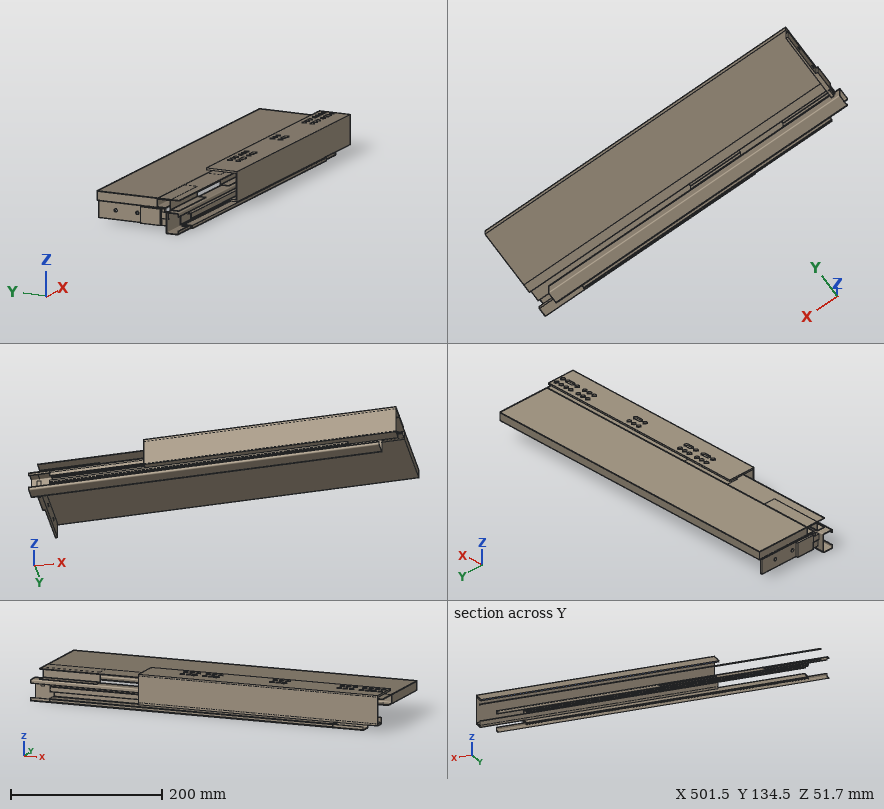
import cadquery as cq

total_length = 501.5
total_width = 134.5
total_height = 51.7


def block(x_range, y_range, z_range):
    """Box between two positions on each axis."""
    size = [high - low for low, high in (x_range, y_range, z_range)]
    corner = (x_range[0], y_range[0], z_range[0])
    return cq.Workplane("XY").box(*size, centered=False).translate(corner)


def folded_sheet(x_range, path, thickness):
    """Sheet whose middle line follows right-angled (Y, Z) points, half a thickness in from each end."""
    half = thickness / 2
    sheet = None
    for (y_a, z_a), (y_b, z_b) in zip(path, path[1:]):
        strip = block(
            x_range,
            (min(y_a, y_b) - half, max(y_a, y_b) + half),
            (min(z_a, z_b) - half, max(z_a, z_b) + half),
        )
        sheet = strip if sheet is None else sheet.union(strip)
    return sheet.clean()


bracket_end = 500.0
bracket_length = 342.0
bracket_x = (bracket_end - bracket_length, bracket_end)
bracket_flange_thickness = 2.5
bracket_web_thickness = 1.6
bracket_top_width = 45.3
bracket_bottom_z = 10.4
bracket_hook_y = 13.6
bracket_hook_top_z = 19.4

hole_diameter = 6.2
hole_pitch = 9.0
hole_rows_y = (24.3, 36.3)
three_hole_groups_x = (211.0, 243.0, 339.0, 435.0)
four_hole_group_x = 467.0
round_only_group_x = 435.0


def bracket_hole_cutters():
    """Rows of mounting holes; most groups have a slot in place of two holes in the outer row."""
    slot_row_y, round_row_y = hole_rows_y
    round_centres = []
    slot_centres = []
    for group_x in (*three_hole_groups_x, four_hole_group_x):
        hole_count = 4 if group_x == four_hole_group_x else 3
        positions = [group_x + hole_pitch * index for index in range(hole_count)]
        round_centres += [(x, round_row_y) for x in positions]
        if group_x == round_only_group_x:
            round_centres += [(x, slot_row_y) for x in positions]
        else:
            round_centres += [(x, slot_row_y) for x in positions[:1] + positions[3:]]
            slot_centres.append(((positions[1] + positions[2]) / 2, slot_row_y))
    top = cq.Workplane("XY").workplane(offset=total_height)
    holes = top.pushPoints(round_centres).circle(hole_diameter / 2).extrude(-bracket_flange_thickness)
    slots = (
        top.pushPoints(slot_centres)
        .slot2D(hole_pitch + hole_diameter, hole_diameter)
        .extrude(-bracket_flange_thickness)
    )
    return holes.union(slots)


def make_cabinet_bracket():
    top_z = (total_height - bracket_flange_thickness, total_height)
    bottom_z = (bracket_bottom_z, bracket_bottom_z + bracket_flange_thickness)
    hook_y = (bracket_hook_y - bracket_web_thickness, bracket_hook_y)
    web = block(bracket_x, (0, bracket_web_thickness), (bracket_bottom_z, total_height))
    top_flange = block(bracket_x, (0, bracket_top_width), top_z)
    bottom_flange = block(bracket_x, (0, bracket_hook_y), bottom_z)
    hook = block(bracket_x, hook_y, (bracket_bottom_z, bracket_hook_top_z))
    return web.union(top_flange).union(bottom_flange).union(hook).clean().cut(bracket_hole_cutters())


panel_x = (11.0, total_length)
panel_thickness = 1.0
panel_top_z = 44.4
panel_front_y = 13.8
panel_bottom_z = panel_top_z - panel_thickness
board_front_y = 46.6
board_bottom_z = 31.2


strip_thickness = 1.2
strip_wall_y = board_front_y - strip_thickness
strip_flange_edge_y = 33.6
strip_bend_radius = 1.5


def make_panel():
    """Flat top sheet with an angle below it: a wall against the board and a flange towards the rail."""
    half = strip_thickness / 2
    flange_z = board_bottom_z + half
    path = [
        (strip_wall_y + half, panel_bottom_z - half),
        (strip_wall_y + half, flange_z),
        (strip_flange_edge_y + half, flange_z),
    ]
    inner_bend = cq.NearestToPointSelector((sum(panel_x) / 2, strip_wall_y, board_bottom_z + strip_thickness))
    angle = folded_sheet(panel_x, path, strip_thickness)
    angle = angle.edges("|X").edges(inner_bend).fillet(strip_bend_radius)
    sheet = block(panel_x, (panel_front_y, total_width), (panel_bottom_z, panel_top_z))
    return sheet.union(angle)


def make_board():
    return block(panel_x, (board_front_y, total_width), (board_bottom_z, panel_bottom_z))


rail_x = (0.0, 475.0)
rail_thickness = 1.0
rail_back_y = 27.4
rail_front_y = 9.3
rail_height = 29.4
rail_lip_depth = 5.0
rail_bend_radius = 1.8


def make_drawer_rail():
    """C channel open towards -Y, with short lips on both flanges."""
    half = rail_thickness / 2
    back_y = rail_back_y - half
    lip_y = rail_front_y + half
    channel_path = [
        (lip_y, rail_height - rail_lip_depth + half),
        (lip_y, rail_height - half),
        (back_y, rail_height - half),
        (back_y, half),
        (lip_y, half),
        (lip_y, rail_lip_depth - half),
    ]
    channel = folded_sheet(rail_x, channel_path, rail_thickness)
    middle = sum(rail_x) / 2
    for outer_y, inner_y in ((rail_front_y, lip_y + half), (rail_back_y, back_y - half)):
        for outer_z, inner_z in ((0, rail_thickness), (rail_height, rail_height - rail_thickness)):
            outer_corner = cq.NearestToPointSelector((middle, outer_y, outer_z))
            inner_corner = cq.NearestToPointSelector((middle, inner_y, inner_z))
            channel = channel.edges("|X").edges(outer_corner).fillet(rail_bend_radius)
            channel = channel.edges("|X").edges(inner_corner).fillet(rail_bend_radius - rail_thickness)
    return channel


support_thickness = 0.8
support_length = 81.5
support_starts_x = (panel_x[0], 162.0)
support_foot_edge_y = 14.0


def make_support(start_x):
    """Z bracket that stands on the drawer rail and carries the panel."""
    half = support_thickness / 2
    web_y = rail_back_y - half
    path = [
        (support_foot_edge_y + half, rail_height + half),
        (web_y, rail_height + half),
        (web_y, panel_bottom_z - half),
        (strip_wall_y - half, panel_bottom_z - half),
    ]
    return folded_sheet((start_x, start_x + support_length), path, support_thickness)


middle_x = (29.5, 434.0)
middle_thickness = 1.5
middle_web_y = 20.4
middle_bead_y = (14.6, 18.0)
middle_top_z = 23.1
middle_bottom_z = 6.5
middle_bead_rise = 1.6
middle_upper_lip_y = 5.4
middle_upper_lip_end_z = 16.2
middle_lower_lip_y = 3.8
middle_lower_lip_end_z = 2.9


def make_intermediate_rail():
    """Rail inside the C channel, with a bead along each flange and lips that turn down."""
    half = middle_thickness / 2
    bead_front_y, bead_back_y = middle_bead_y
    upper_bead_z = middle_top_z + middle_bead_rise
    lower_bead_z = middle_bottom_z - middle_bead_rise
    path = [
        (middle_upper_lip_y, middle_upper_lip_end_z + half),
        (middle_upper_lip_y, middle_top_z),
        (bead_front_y, middle_top_z),
        (bead_front_y, upper_bead_z),
        (bead_back_y, upper_bead_z),
        (bead_back_y, middle_top_z),
        (middle_web_y, middle_top_z),
        (middle_web_y, middle_bottom_z),
        (bead_back_y, middle_bottom_z),
        (bead_back_y, lower_bead_z),
        (bead_front_y, lower_bead_z),
        (bead_front_y, middle_bottom_z),
        (middle_lower_lip_y, middle_bottom_z),
        (middle_lower_lip_y, middle_lower_lip_end_z + half),
    ]
    return folded_sheet(middle_x, path, middle_thickness)


coupling_bottom_z = 8.2
plate_x = (9.4, 12.4)
plate_y = (37.9, 131.6)
plate_hole_diameter = 4.5
plate_hole_z = 20.8
plate_holes_y = (74.6, 106.6)

catch_front_x = 6.2
catch_y = (39.4, 68.2)
catch_top_drop = 0.5
catch_top_z = board_bottom_z - catch_top_drop
lever_front_x = 7.4
lever_step = 0.8
lever_upper_edge_y = 27.6
lever_lower_edge_y = 28.8
lever_split_z = 17.8
lever_top_z = 26.8


def plate_hole_cutters():
    return (
        cq.Workplane("YZ", origin=(plate_x[0], 0, 0))
        .pushPoints([(hole_y, plate_hole_z) for hole_y in plate_holes_y])
        .circle(plate_hole_diameter / 2)
        .extrude(plate_x[1] - plate_x[0])
    )


def make_front_coupling():
    """Pierced plate below the board, with a raised catch on its face and a stepped lever near the rail."""
    plate_end_x = plate_x[1]
    plate_edge_y = plate_y[0]
    lever_x = (lever_front_x, plate_end_x)
    stepped_x = (lever_front_x + lever_step, plate_end_x)
    plate = block(plate_x, plate_y, (coupling_bottom_z, board_bottom_z)).cut(plate_hole_cutters())
    catch = block((catch_front_x, plate_end_x), catch_y, (coupling_bottom_z, catch_top_z))
    lower = block(stepped_x, (lever_lower_edge_y, plate_edge_y), (coupling_bottom_z, lever_split_z))
    lever = block(lever_x, (lever_upper_edge_y, plate_edge_y), (lever_split_z, lever_top_z))
    upper = block(stepped_x, (strip_flange_edge_y, plate_edge_y), (lever_top_z, board_bottom_z))
    return plate.union(catch).union(lower).union(lever).union(upper)


cabinet_bracket = make_cabinet_bracket()
panel = make_panel()
board = make_board()
drawer_rail = make_drawer_rail()
supports = [make_support(start_x) for start_x in support_starts_x]
intermediate_rail = make_intermediate_rail()
front_coupling = make_front_coupling()

result = cq.Compound.makeCompound(
    [
        cabinet_bracket.val(),
        panel.val(),
        board.val(),
        drawer_rail.val(),
        *[support.val() for support in supports],
        intermediate_rail.val(),
        front_coupling.val(),
    ]
)